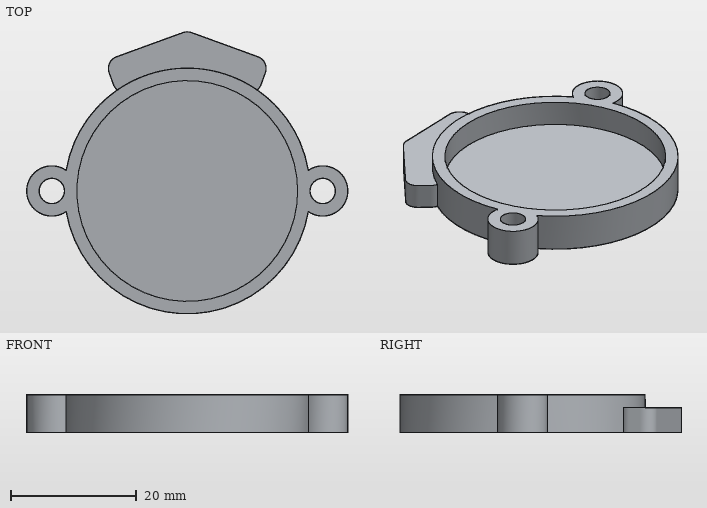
import cadquery as cq
import math

tray_diameter = 39.0
tray_height = 6.0
wall_thickness = 2.0
floor_thickness = 2.0

ear_span = 51.0
ear_diameter = 8.0
ear_hole_diameter = 4.0
ear_center_x = (ear_span - ear_diameter) / 2

total_depth = 44.75
arm_height = 4.0
arm_round_radius = 2.0
arm_row_spacing = 2.0
arm_length = 11.2
arm_slope = 20.0
peak_y = total_depth - tray_diameter / 2 - arm_round_radius


def cylinder(diameter, height, x=0.0):
    return cq.Workplane("XY").center(x, 0).circle(diameter / 2).extrude(height)


def make_arm(side):
    """Rounded bar running from the peak outward; side is -1 (left) or +1 (right)."""
    slope = math.radians(arm_slope)
    along = (side * arm_length * math.cos(slope), -arm_length * math.sin(slope))
    across = (-side * arm_row_spacing * math.sin(slope), -arm_row_spacing * math.cos(slope))
    rounding_centers = [
        (0, 0),
        along,
        (along[0] + across[0], along[1] + across[1]),
        across,
    ]
    return (
        cq.Workplane("XY")
        .center(0, peak_y)
        .polyline(rounding_centers)
        .close()
        .offset2D(arm_round_radius, "arc")
        .extrude(arm_height)
    )


body = cylinder(tray_diameter, tray_height)
for side in (-1, 1):
    body = body.union(cylinder(ear_diameter, tray_height, side * ear_center_x))
    body = body.union(make_arm(side))

recess_diameter = tray_diameter - 2 * wall_thickness
recess = cylinder(recess_diameter, tray_height - floor_thickness).translate((0, 0, floor_thickness))
body = body.cut(recess)

for side in (-1, 1):
    body = body.cut(cylinder(ear_hole_diameter, tray_height, side * ear_center_x))

result = body